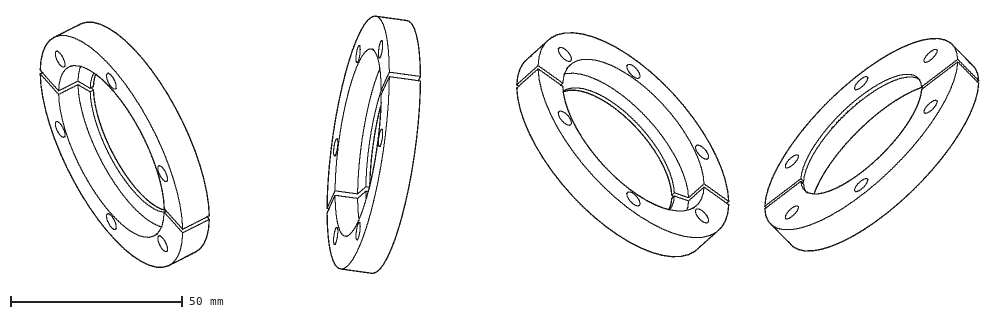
import cadquery as cq

outer_diameter = 74.7
thickness = 9.4
recess_diameter = 55.3
bore_diameter = 46.7
recess_depth = 6.8
bore_land = 1.2
split_gap = 1.6

hole_diameter = 5.1
hole_circle_diameter = 62.0
holes_per_half = 3
first_hole_angle = 30.0
hole_spacing = 60.0

outer_radius = outer_diameter / 2
recess_radius = recess_diameter / 2
bore_radius = bore_diameter / 2
front_y = -thickness / 2
back_y = thickness / 2


def full_ring():
    """Ring with a recess that tapers to a smaller bore, revolved about Y."""
    profile = (
        cq.Workplane("XY")
        .moveTo(outer_radius, front_y)
        .lineTo(outer_radius, back_y)
        .lineTo(bore_radius, back_y)
        .lineTo(bore_radius, back_y - bore_land)
        .lineTo(recess_radius, front_y + recess_depth)
        .lineTo(recess_radius, front_y)
        .close()
    )
    return profile.revolve(360, (0, 0, 0), (0, 1, 0))


def bolt_holes(side):
    """Through-hole cutters for the upper (+1) or lower (-1) half."""
    return (
        cq.Workplane("XZ")
        .polarArray(
            hole_circle_diameter / 2,
            side * first_hole_angle,
            side * hole_spacing * (holes_per_half - 1),
            holes_per_half,
        )
        .circle(hole_diameter / 2)
        .extrude(thickness, both=True)
    )


def ring_half(side):
    """One half of the ring, above (+1) or below (-1) the split gap."""
    half_height = outer_radius - split_gap / 2
    half_center_z = side * (split_gap + half_height) / 2
    half_space = (
        cq.Workplane("XY")
        .box(outer_diameter, thickness, half_height)
        .translate((0, 0, half_center_z))
    )
    return full_ring().intersect(half_space).cut(bolt_holes(side))


ring_halves = [ring_half(side) for side in (1, -1)]

result = cq.Compound.makeCompound([half.val() for half in ring_halves])